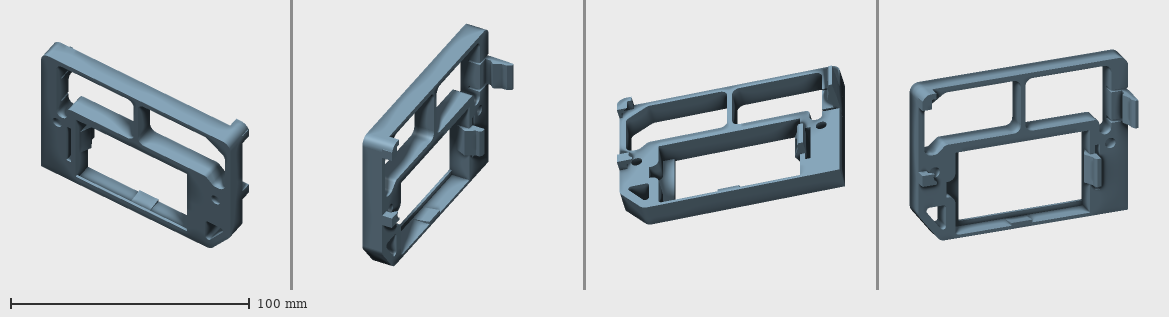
import cadquery as cq

WIDTH = 95.12
HEIGHT = 70.01
THICKNESS = 9.36
CORNER_RADIUS = 4.0
BEVEL_START_X = 85.1
BEVEL_END_Z = 13.06

OPENING_TOP = 67.5
OPENING_BOTTOM = 43.45
OPENING_RADIUS = 3.3
LEFT_OPENING_X = (7.6, 46.5)
RIGHT_OPENING_X = (48.6, 92.4)
CHANNEL_RIGHT = 13.04
CHANNEL_BOTTOM = 36.2
CHANNEL_ROUNDING = 0.499
CHANNEL_SHOULDER_RADIUS = 2.0
CUT_CORNER_X = 82.9
CUT_CORNER_Z = 61.05
DIP_TOP_X = 82.7
DIP_BOTTOM_X = 86.7
DIP_BOTTOM = 39.8
DIP_RADIUS = 2.5

WINDOW_X = (17.26, 73.4)
WINDOW_Z = (3.9, 39.2)
LIP_THICKNESS = 1.2
RECESS_RIGHT = 78.3
RECESS_BOTTOM = 1.5
RECESS_RADIUS = 1.5
NOTCH_RIGHT = 82.3
NOTCH_Z = (19.4, 26.5)
NOTCH_RADIUS = 3.3
WEDGE_X = (43.3, 52.8)
WEDGE_HEIGHT = 1.25

HOLE_DIAMETER = 4.7
HOLE_X = (8.0, 87.7)
HOLE_Z = 31.8
SLOT_X = (12.7, 14.9)
SLOT_Z = (11.4, 32.05)
TRIANGLE_LEFT = 82.44
TRIANGLE_RIGHT = 92.75
TRIANGLE_TOP = 16.05
TRIANGLE_BOTTOM = 2.28
TRIANGLE_RADIUS = 1.4

HOOK_Z = (42.25, 54.9)
HOOK_TIP_Y = 21.41
HOOK_ARM = 2.75
HOOK_NOSE = 4.35
HOOK_NOSE_Y = (11.9, 13.6, 17.4)
HOOK_TIP_X = (0.35, 1.7)
HOOK_TIP_CHAMFER_Y = 19.6
HOOK_TAPER_START_Y = 13.9
SLIT_FRONT_Y = 3.82
SLIT_Z = ((40.95, HOOK_Z[0]), (HOOK_Z[1], 55.8))

CLIP_LEFT = 14.5
CLIP_Z = (15.4, 28.2)
CLIP_TIP_Y = 15.15
CLIP_NOSE_X = 19.65
CLIP_NOSE_ROOT_Y = 3.6
CLIP_NOSE_PEAK_Y = 8.4
CLIP_NOSE_END_Y = 12.6
CLIP_TIP_CHAMFER_Y = 14.2
CLIP_TIP_RIGHT = 16.3

LUG_TOP_Y = 14.0
LUG_SLOPE_START_Y = 11.5
LUG_OVERHANG = 3.1
UPPER_LUG_TIP_X = 90.8
UPPER_LUG_Z = (63.0, 67.4)
LOWER_LUG_TIP_X = 88.5
LOWER_LUG_Z = (28.3, 33.2)
TOP_RIB_LEFT = 88.8


def extrude_y(sketch, y_start, y_end):
    """Extrude a closed XZ outline from y_start to y_end."""
    return sketch.extrude(y_start - y_end).translate((0, y_start, 0))


def box(x_range, y_range, z_range):
    """Block spanning the given ranges along X, Y and Z."""
    sizes = [high - low for low, high in (x_range, y_range, z_range)]
    corner = (x_range[0], y_range[0], z_range[0])
    return cq.Workplane("XY").box(*sizes, centered=False).translate(corner)


def prism_z(points, z_range):
    """Extrude a closed XY profile over a range of heights."""
    bottom, top = z_range
    outline = cq.Workplane("XY").workplane(offset=bottom).polyline(points).close()
    return outline.extrude(top - bottom)


def round_edge(body, x, z, radius):
    """Round the edge parallel to Y that passes through (x, z)."""
    nearest = cq.selectors.NearestToPointSelector((x, body.val().Center().y, z))
    return body.edges("|Y").edges(nearest).fillet(radius)


def rounded_prism(corners, y_start, y_end):
    """Prism along Y from (x, z, radius) corners."""
    outline = cq.Workplane("XZ").polyline([(x, z) for x, z, _ in corners]).close()
    body = extrude_y(outline, y_start, y_end)
    for x, z, radius in corners:
        if radius > 0:
            body = round_edge(body, x, z, radius)
    return body


def plate_blank(depth):
    """Plate outline: two rounded top corners and a bevelled lower right corner."""
    corners = [
        (0, 0, 0),
        (BEVEL_START_X, 0, CORNER_RADIUS),
        (WIDTH, BEVEL_END_Z, CORNER_RADIUS),
        (WIDTH, HEIGHT, CORNER_RADIUS),
        (0, HEIGHT, CORNER_RADIUS),
    ]
    return rounded_prism(corners, 0, depth)


def left_opening():
    """Rounded opening with a round-ended channel hanging from its left side."""
    left, right = LEFT_OPENING_X
    channel_radius = CHANNEL_ROUNDING * (CHANNEL_RIGHT - left)
    return rounded_prism(
        [
            (left, CHANNEL_BOTTOM, channel_radius),
            (CHANNEL_RIGHT, CHANNEL_BOTTOM, channel_radius),
            (CHANNEL_RIGHT, OPENING_BOTTOM, CHANNEL_SHOULDER_RADIUS),
            (right, OPENING_BOTTOM, OPENING_RADIUS),
            (right, OPENING_TOP, OPENING_RADIUS),
            (left, OPENING_TOP, OPENING_RADIUS),
        ],
        0,
        THICKNESS,
    )


def right_opening():
    """Rounded opening with a cut upper corner and a dip in its lower right corner."""
    left, right = RIGHT_OPENING_X
    return rounded_prism(
        [
            (left, OPENING_BOTTOM, OPENING_RADIUS),
            (DIP_TOP_X, OPENING_BOTTOM, DIP_RADIUS),
            (DIP_BOTTOM_X, DIP_BOTTOM, DIP_RADIUS),
            (right, DIP_BOTTOM, OPENING_RADIUS),
            (right, CUT_CORNER_Z, OPENING_RADIUS),
            (CUT_CORNER_X, OPENING_TOP, OPENING_RADIUS),
            (left, OPENING_TOP, OPENING_RADIUS),
        ],
        0,
        THICKNESS,
    )


def window():
    """Window through the lip, with the larger notched recess behind it."""
    left = WINDOW_X[0]
    top = WINDOW_Z[1]
    front = box(WINDOW_X, (0, THICKNESS), WINDOW_Z)
    recess = rounded_prism(
        [
            (left, RECESS_BOTTOM, 0),
            (RECESS_RIGHT, RECESS_BOTTOM, RECESS_RADIUS),
            (RECESS_RIGHT, NOTCH_Z[0], NOTCH_RADIUS),
            (NOTCH_RIGHT, NOTCH_Z[0], 0),
            (NOTCH_RIGHT, NOTCH_Z[1], 0),
            (RECESS_RIGHT, NOTCH_Z[1], NOTCH_RADIUS),
            (RECESS_RIGHT, top, 0),
            (left, top, 0),
        ],
        LIP_THICKNESS,
        THICKNESS,
    )
    return front.union(recess)


def wedge():
    """Ramp on the recess floor, rising from the lip to the back face."""
    profile = [
        (LIP_THICKNESS, RECESS_BOTTOM),
        (THICKNESS, RECESS_BOTTOM),
        (THICKNESS, RECESS_BOTTOM + WEDGE_HEIGHT),
    ]
    ramp = cq.Workplane("YZ").polyline(profile).close().extrude(WEDGE_X[1] - WEDGE_X[0])
    return ramp.translate((WEDGE_X[0], 0, 0))


def triangle_hole():
    """Rounded triangular hole beside the bevelled corner."""
    return rounded_prism(
        [
            (TRIANGLE_LEFT, TRIANGLE_BOTTOM, TRIANGLE_RADIUS),
            (TRIANGLE_RIGHT, TRIANGLE_TOP, TRIANGLE_RADIUS),
            (TRIANGLE_LEFT, TRIANGLE_TOP, TRIANGLE_RADIUS),
        ],
        0,
        THICKNESS,
    )


def screw_holes():
    """Two round holes that also run through anything standing behind the plate."""
    centers = [(x, HOLE_Z) for x in HOLE_X]
    circles = cq.Workplane("XZ").pushPoints(centers).circle(HOLE_DIAMETER / 2)
    return extrude_y(circles, 0, LUG_TOP_Y)


def hook():
    """Tall snap hook with a nose pointing inward and a tapered tip."""
    profile = [
        (0, SLIT_FRONT_Y),
        (HOOK_ARM, SLIT_FRONT_Y),
        (HOOK_ARM, HOOK_NOSE_Y[0]),
        (HOOK_NOSE, HOOK_NOSE_Y[1]),
        (HOOK_ARM, HOOK_NOSE_Y[2]),
        (HOOK_ARM, HOOK_TIP_CHAMFER_Y),
        (HOOK_TIP_X[1], HOOK_TIP_Y),
        (HOOK_TIP_X[0], HOOK_TIP_Y),
        (0, HOOK_TAPER_START_Y),
    ]
    return prism_z(profile, HOOK_Z)


def clip():
    """Short snap clip whose nose overhangs the left side of the window."""
    face = WINDOW_X[0]
    root = 0.5 * (SLOT_X[1] + face)
    profile = [
        (CLIP_LEFT, THICKNESS),
        (CLIP_LEFT, CLIP_TIP_Y),
        (CLIP_TIP_RIGHT, CLIP_TIP_Y),
        (face, CLIP_TIP_CHAMFER_Y),
        (face, CLIP_NOSE_END_Y),
        (CLIP_NOSE_X, CLIP_NOSE_PEAK_Y),
        (face, CLIP_NOSE_ROOT_Y),
        (root, CLIP_NOSE_ROOT_Y),
        (root, THICKNESS),
    ]
    return prism_z(profile, CLIP_Z)


def catch_lug(tip_x, z_range):
    """Upright wall whose inner face leans inward above LUG_SLOPE_START_Y."""
    base_x = tip_x + LUG_OVERHANG
    profile = [
        (base_x, THICKNESS),
        (base_x, LUG_SLOPE_START_Y),
        (tip_x, LUG_TOP_Y),
        (WIDTH, LUG_TOP_Y),
        (WIDTH, THICKNESS),
    ]
    return prism_z(profile, z_range)


def top_rib():
    """Rib along the top edge that follows the rounded upper right corner."""
    rib = box((TOP_RIB_LEFT, WIDTH), (THICKNESS, LUG_TOP_Y), (UPPER_LUG_Z[1], HEIGHT))
    return rib.intersect(plate_blank(LUG_TOP_Y))


def build():
    body = plate_blank(THICKNESS)
    for cutter in (left_opening(), right_opening(), window(), triangle_hole()):
        body = body.cut(cutter)
    body = body.cut(box(SLOT_X, (0, THICKNESS), SLOT_Z))
    for z_range in SLIT_Z:
        body = body.cut(box((0, LEFT_OPENING_X[0]), (SLIT_FRONT_Y, THICKNESS), z_range))

    upper_lug = catch_lug(UPPER_LUG_TIP_X, UPPER_LUG_Z)
    lower_lug = catch_lug(LOWER_LUG_TIP_X, LOWER_LUG_Z)
    for addition in (wedge(), hook(), clip(), upper_lug, lower_lug, top_rib()):
        body = body.union(addition)
    return body.cut(screw_holes())


result = build()